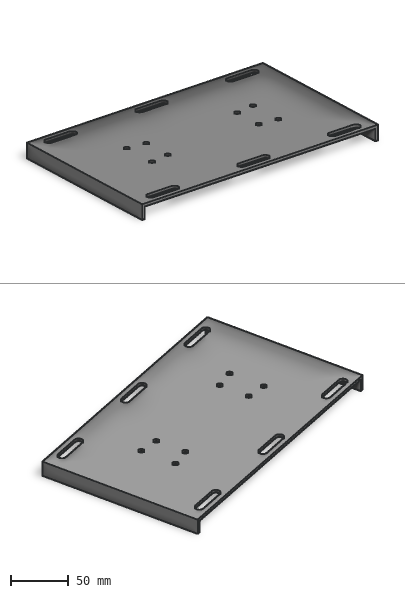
import cadquery as cq

width = 160.0
length = 260.0
height = 15.0
thickness = 3.0

slot_length = 34.0
slot_width = 8.0
slot_spacing_x = 141.5
slot_pitch_y = 100.0

hole_diameter = 5.5
outer_hole_spacing = (35.0, 139.0)
inner_hole_spacing = (30.0, 100.0)


def make_channel():
    """Flat plate with a flange hanging from each end in Y."""
    block = cq.Workplane("XY").box(width, length, height, centered=(True, True, False))
    hollow = cq.Workplane("XY").box(
        width, length - 2 * thickness, height - thickness, centered=(True, True, False)
    )
    return block.cut(hollow)


def cut_slots(body):
    return (
        body.faces(">Z").workplane(origin=(0, 0, height))
        .rarray(slot_spacing_x, slot_pitch_y, 2, 3)
        .slot2D(slot_length, slot_width, 90)
        .cutBlind(-thickness)
    )


def drill_rectangle(body, spacing):
    """Drill one hole at each corner of a centred rectangle."""
    return (
        body.faces(">Z").workplane(origin=(0, 0, height))
        .rarray(spacing[0], spacing[1], 2, 2)
        .circle(hole_diameter / 2)
        .cutBlind(-thickness)
    )


result = cut_slots(make_channel())
for hole_spacing in (outer_hole_spacing, inner_hole_spacing):
    result = drill_rectangle(result, hole_spacing)